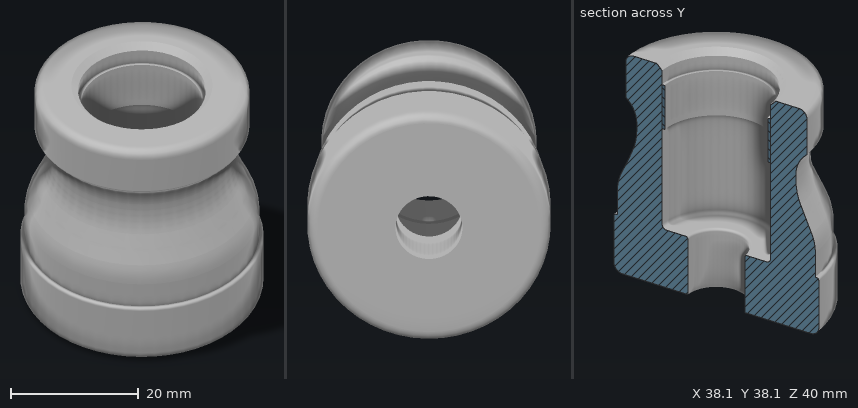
import cadquery as cq
import math


height = 40.0
collar_radius = 19.05
collar_top = 10.5
collar_bottom_fillet = 1.6
collar_top_fillet = 0.5

body_radius = 18.4
shoulder_arc_radius = 8.0
cone_angle = math.radians(24)
neck_radius = 14.8
neck_bottom = 26.75
neck_top = 28.0
neck_lower_arc_radius = 10.0
neck_upper_arc_radius = 5.0
undercut_angle = math.radians(45)
flange_radius = 16.85
flange_top_fillet = 1.5
flange_bottom_fillet = 0.4

bore_radius = 10.0
bore_chamfer = 1.05
floor_level = collar_top
floor_fillet = 0.7
hole_radius = 5.25
hole_rounding = 0.5

sleeve_thickness = 0.5
sleeve_depth = 3.5
sleeve_length = 8.0


def arc_rise(radius, angle):
    """Axial height of an arc that starts parallel to the axis and turns by angle."""
    return radius * math.sin(angle)


def arc_spread(radius, angle):
    """Radial width of an arc that starts parallel to the axis and turns by angle."""
    return radius * (1 - math.cos(angle))


def revolve_about_z(profile):
    """Turn a closed (radius, Z) outline drawn on the XZ plane into a solid."""
    return profile.close().revolve(360, (0, 0, 0), (0, 1, 0))


def circle_at(level):
    """Selector for the circular edge centred on the axis nearest to a level."""
    return cq.selectors.NearestToPointSelector((0, 0, level))


def make_outer_form():
    cone_top_radius = neck_radius + arc_spread(neck_lower_arc_radius, cone_angle)
    cone_top = neck_bottom - arc_rise(neck_lower_arc_radius, cone_angle)
    cone_bottom_radius = body_radius - arc_spread(shoulder_arc_radius, cone_angle)
    cone_bottom = cone_top - (cone_bottom_radius - cone_top_radius) / math.tan(cone_angle)
    shoulder_level = cone_bottom - arc_rise(shoulder_arc_radius, cone_angle)

    undercut_start_radius = neck_radius + arc_spread(neck_upper_arc_radius, undercut_angle)
    undercut_start = neck_top + arc_rise(neck_upper_arc_radius, undercut_angle)
    flange_bottom = undercut_start + (flange_radius - undercut_start_radius) / math.tan(undercut_angle)

    profile = (
        cq.Workplane("XZ")
        .lineTo(collar_radius, 0)
        .lineTo(collar_radius, collar_top)
        .lineTo(body_radius, collar_top)
        .lineTo(body_radius, shoulder_level)
        .tangentArcPoint((cone_bottom_radius, cone_bottom), relative=False)
        .lineTo(cone_top_radius, cone_top)
        .tangentArcPoint((neck_radius, neck_bottom), relative=False)
        .lineTo(neck_radius, neck_top)
        .tangentArcPoint((undercut_start_radius, undercut_start), relative=False)
        .lineTo(flange_radius, flange_bottom)
        .lineTo(flange_radius, height)
        .lineTo(0, height)
    )
    return (
        revolve_about_z(profile)
        .edges(circle_at(flange_bottom)).fillet(flange_bottom_fillet)
        .faces(">Z").edges().fillet(flange_top_fillet)
        .faces("<Z").edges().fillet(collar_bottom_fillet)
        .edges(cq.selectors.RadiusNthSelector(-1)).edges(">Z").fillet(collar_top_fillet)
    )


def make_cavity():
    """Chamfered blind bore with a filleted floor, and the round-edged hole through the floor."""
    profile = (
        cq.Workplane("XZ")
        .moveTo(0, height)
        .lineTo(bore_radius + bore_chamfer, height)
        .lineTo(bore_radius, height - bore_chamfer)
        .lineTo(bore_radius, floor_level + floor_fillet)
        .tangentArcPoint((bore_radius - floor_fillet, floor_level), relative=False)
        .lineTo(hole_radius + hole_rounding, floor_level)
        .tangentArcPoint((hole_radius, floor_level - hole_rounding), relative=False)
        .lineTo(hole_radius, 0)
        .lineTo(0, 0)
    )
    return revolve_about_z(profile)


def make_housing():
    return make_outer_form().cut(make_cavity())


def make_sleeve():
    """Plain ring seated against the bore wall."""
    sleeve_bottom = height - sleeve_depth - sleeve_length
    return (
        cq.Workplane("XY", origin=(0, 0, sleeve_bottom))
        .circle(bore_radius)
        .circle(bore_radius - sleeve_thickness)
        .extrude(sleeve_length)
    )


housing = make_housing()
sleeve = make_sleeve()

result = cq.Compound.makeCompound([housing.val(), sleeve.val()])